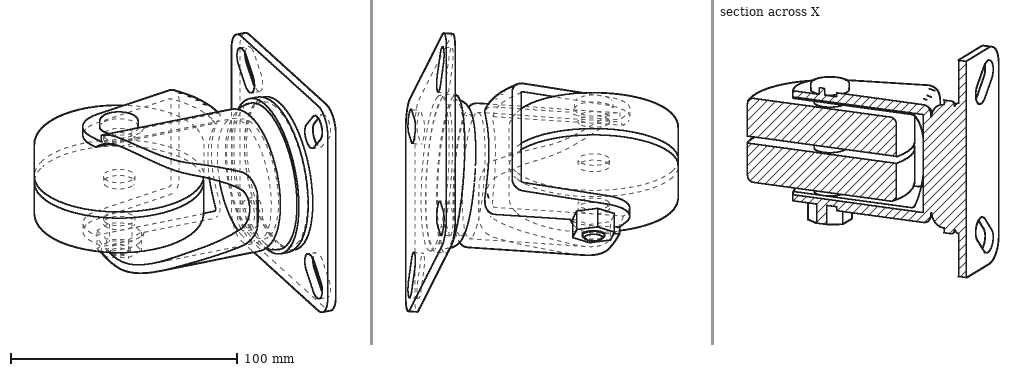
import cadquery as cq
import math


PLATE_SIZE = 100.0
PLATE_THICKNESS = 4.0
PLATE_CORNER_RADIUS = 10.0
SLOT_RADIUS = 5.5
SLOT_INNER_OFFSET = 31.75
SLOT_OUTER_OFFSET = 38.75

NECK_RADIUS = 34.5
NECK_WAIST_RADIUS = 32.5
RING_RADIUS = 35.0
RING_ROUND = 1.8
RING_TOP = 5.8
RING_BOTTOM = 11.0
BOWL_RADIUS = 33.0
BOWL_ROUND = 6.0
BOWL_BOTTOM = 17.3

WHEEL_RADIUS = 37.5
WHEEL_WIDTH = 18.0
WHEEL_GAP = 3.0
WHEEL_ROUND = 3.0
AXLE_X = -25.0
OVERALL_DEPTH = 108.2
AXLE_Y = WHEEL_RADIUS - OVERALL_DEPTH
SPACER_RADIUS = 7.0

SHEET = 4.0
CUP_RADIUS = 32.0
CUP_BORE_RADIUS = CUP_RADIUS - SHEET
CUP_ROUND = 3.6
FORK_HALF_WIDTH = 25.5
FORK_INNER_HALF_WIDTH = FORK_HALF_WIDTH - SHEET
CROWN_RADIUS = 48.8
BEND_RADIUS = 5.0
INNER_BEND_RADIUS = BEND_RADIUS - SHEET
LOBE_RADIUS = 16.0
FRONT_EDGE_ANGLE = 13.0
LOWER_EDGE_ANGLE = 14.5
REAR_EDGE_ANGLE = 14.4
SHOULDER_X = 28.15
SHOULDER_DEPTH = 28.0
SHOULDER_ROUND = 9.6
RIM_DEPTH = 29.35
HEEL_ROUND = 33.5
SPOTFACE_RADIUS = 11.0

HEAD_RADIUS = 8.5
HEAD_HEIGHT = 3.6
HEAD_ROUND = 1.0
NUT_ACROSS_FLATS = 17.0
NUT_HEIGHT = 8.8
BOLT_RADIUS = 5.0
BOLT_CHAMFER = 1.0
BOLT_END_Z = -35.6

REACH = 2 * OVERALL_DEPTH


def axle_cylinder(radius, z_start, z_end):
    """Cylinder about the axle between two Z heights."""
    base = cq.Workplane("XY", origin=(AXLE_X, AXLE_Y, z_start))
    return base.circle(radius).extrude(z_end - z_start)


def swivel_cylinder(radius, depth_top, depth_bottom):
    """Cylinder about the swivel axis between two depths below the mounting face."""
    base = cq.Workplane("XZ", origin=(0, -depth_top, 0))
    return base.circle(radius).extrude(depth_bottom - depth_top)


def make_plate():
    plate = cq.Workplane("XZ").rect(PLATE_SIZE, PLATE_SIZE).extrude(PLATE_THICKNESS)
    plate = plate.edges("|Y").fillet(PLATE_CORNER_RADIUS)
    middle = (SLOT_INNER_OFFSET + SLOT_OUTER_OFFSET) / 2
    length = math.sqrt(2) * (SLOT_OUTER_OFFSET - SLOT_INNER_OFFSET) + 2 * SLOT_RADIUS
    for side_x in (-1, 1):
        for side_z in (-1, 1):
            slot = (
                cq.Workplane("XZ")
                .center(side_x * middle, side_z * middle)
                .slot2D(length, 2 * SLOT_RADIUS, 45 * side_x * side_z)
                .extrude(PLATE_THICKNESS)
            )
            plate = plate.cut(slot)
    return plate


def make_bearing():
    neck_depth = RING_TOP - PLATE_THICKNESS
    neck_sag = math.sqrt(0.5)
    neck_middle = (
        NECK_WAIST_RADIUS + (NECK_RADIUS - NECK_WAIST_RADIUS) * neck_sag,
        -PLATE_THICKNESS - neck_depth * neck_sag,
    )
    neck = (
        cq.Workplane("XY")
        .moveTo(0, -PLATE_THICKNESS)
        .lineTo(NECK_RADIUS, -PLATE_THICKNESS)
        .threePointArc(neck_middle, (NECK_WAIST_RADIUS, -RING_TOP))
        .lineTo(0, -RING_TOP)
        .close()
        .revolve(360, (0, 0), (0, 1))
    )
    ring = swivel_cylinder(RING_RADIUS, RING_TOP, RING_BOTTOM).edges(">Y").fillet(RING_ROUND)
    bowl = swivel_cylinder(BOWL_RADIUS, RING_BOTTOM, BOWL_BOTTOM).edges("<Y").fillet(BOWL_ROUND)
    return neck.union(ring).union(bowl)


def make_side_profile():
    """Side outline of the fork, as a prism along Z."""
    front = math.radians(FRONT_EDGE_ANGLE)
    lower = math.radians(LOWER_EDGE_ANGLE)
    rear = math.radians(REAR_EDGE_ANGLE)

    def lobe_point(direction):
        return (
            AXLE_X + LOBE_RADIUS * math.cos(direction),
            AXLE_Y + LOBE_RADIUS * math.sin(direction),
        )

    front_tangent = lobe_point(math.pi + front)
    lower_tangent = lobe_point(lower - math.pi / 2)
    lobe_middle = lobe_point((front + lower) / 2 - 3 * math.pi / 4)

    shoulder = (SHOULDER_X, -SHOULDER_DEPTH)
    run = shoulder[0] - lower_tangent[0]
    rise = shoulder[1] - lower_tangent[1]
    lower_length = (run * math.cos(rear) - rise * math.sin(rear)) / math.cos(lower + rear)
    heel = (
        lower_tangent[0] + lower_length * math.cos(lower),
        lower_tangent[1] + lower_length * math.sin(lower),
    )

    far_x = 2 * CUP_RADIUS
    front_top = (front_tangent[0] + front_tangent[1] * math.tan(front), 0)
    profile = (
        cq.Workplane("XY")
        .moveTo(*front_top)
        .lineTo(*front_tangent)
        .threePointArc(lobe_middle, lower_tangent)
        .lineTo(*heel)
        .lineTo(*shoulder)
        .lineTo(far_x, -SHOULDER_DEPTH)
        .lineTo(far_x, 0)
        .close()
        .extrude(CUP_RADIUS, both=True)
    )
    for corner, radius in ((heel, HEEL_ROUND), (shoulder, SHOULDER_ROUND)):
        nearest = cq.selectors.NearestToPointSelector((corner[0], corner[1], 0))
        profile = profile.edges("|Z").edges(nearest).fillet(radius)

    rim = (
        cq.Workplane("XY")
        .box(far_x, RIM_DEPTH, 2 * CUP_RADIUS, centered=(False, False, True))
        .translate((0, -RIM_DEPTH, 0))
    )
    return profile.union(rim)


def make_channel(radius, half_width, bend):
    """The -X half of the fork: a rounded crown about the axle, with sides running down."""
    top = axle_cylinder(radius, -half_width, half_width).edges().fillet(bend)
    sides = (
        cq.Workplane("XY")
        .box(2 * radius, REACH, 2 * half_width, centered=(True, False, True))
        .translate((AXLE_X, AXLE_Y - REACH, 0))
    )
    toward_axle = (
        cq.Workplane("XY")
        .box(REACH, 2 * REACH, REACH)
        .translate((-REACH / 2, 0, 0))
    )
    return top.union(sides).intersect(toward_axle)


def make_spotface_cut():
    """Clears the cup wall around the bolt head and the nut, open downward."""
    slot = axle_cylinder(SPOTFACE_RADIUS, FORK_HALF_WIDTH, CUP_RADIUS)
    below = (
        cq.Workplane("XY")
        .box(2 * SPOTFACE_RADIUS, REACH, CUP_RADIUS - FORK_HALF_WIDTH, centered=(True, False, False))
        .translate((AXLE_X, AXLE_Y - REACH, FORK_HALF_WIDTH))
    )
    cut = slot.union(below)
    return cut.union(cut.mirror("XY"))


def make_fork():
    cup = swivel_cylinder(CUP_RADIUS, BOWL_BOTTOM, OVERALL_DEPTH).edges(">Y").fillet(CUP_ROUND)
    bore = swivel_cylinder(CUP_BORE_RADIUS, BOWL_BOTTOM + SHEET, OVERALL_DEPTH)
    outer = make_channel(CROWN_RADIUS, FORK_HALF_WIDTH, BEND_RADIUS)
    inner = make_channel(CROWN_RADIUS - SHEET, FORK_INNER_HALF_WIDTH, INNER_BEND_RADIUS)
    fork = cup.union(outer).intersect(make_side_profile())
    return fork.cut(bore).cut(inner).cut(make_spotface_cut())


def make_wheels():
    inner_z = WHEEL_GAP / 2
    wheel = axle_cylinder(WHEEL_RADIUS, inner_z, inner_z + WHEEL_WIDTH)
    wheel = wheel.edges(">Z").fillet(WHEEL_ROUND)
    spacer = axle_cylinder(SPACER_RADIUS, -FORK_INNER_HALF_WIDTH, FORK_INNER_HALF_WIDTH)
    return spacer.union(wheel).union(wheel.mirror("XY"))


def make_bolt():
    head = axle_cylinder(HEAD_RADIUS, FORK_HALF_WIDTH, FORK_HALF_WIDTH + HEAD_HEIGHT)
    head = head.edges(">Z").fillet(HEAD_ROUND)
    shank = axle_cylinder(BOLT_RADIUS, BOLT_END_Z, FORK_HALF_WIDTH)
    shank = shank.edges("<Z").chamfer(BOLT_CHAMFER)
    across_corners = NUT_ACROSS_FLATS / math.cos(math.radians(30))
    nut = (
        cq.Workplane("XY", origin=(AXLE_X, AXLE_Y, -FORK_HALF_WIDTH))
        .polygon(6, across_corners)
        .extrude(-NUT_HEIGHT)
    )
    return shank.union(head).union(nut)


result = (
    make_plate()
    .union(make_bearing())
    .union(make_fork())
    .union(make_wheels())
    .union(make_bolt())
)